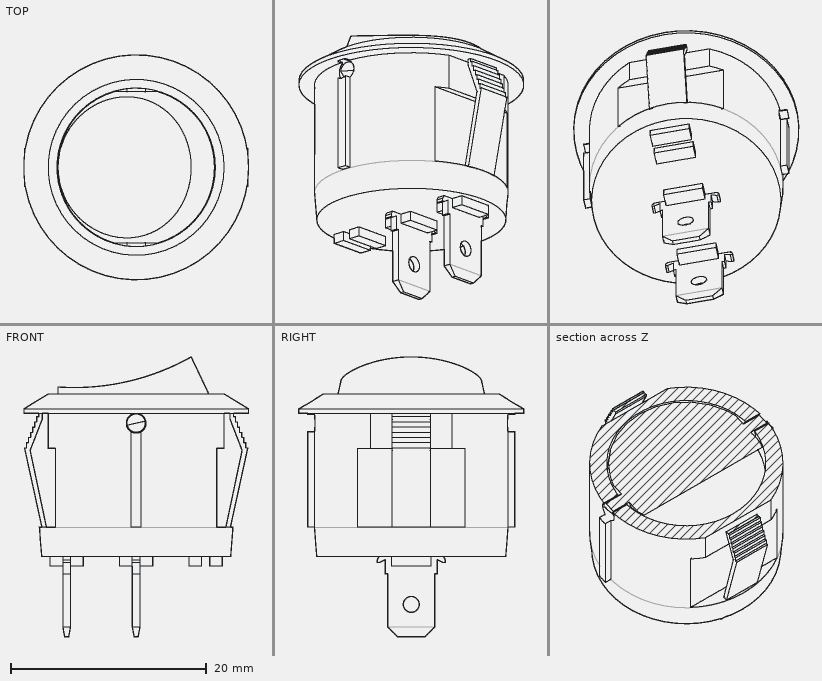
import cadquery as cq
import math

OVERALL_HEIGHT = 28.6

FLANGE_RADIUS = 11.5
FLANGE_EDGE = 0.45
FLANGE_TOP = 2.0
FLANGE_TOP_RADIUS = 8.98
BORE_RADIUS = 8.1
BORE_FLOOR = -2.57

BODY_RADIUS = 9.9
BODY_BOTTOM = -11.67
BASE_RADIUS = 9.67
BASE_BOTTOM = -14.61

UPPER_FLAT_X = 8.98
LOWER_FLAT_X = 8.25
FLAT_STEP = -3.58
FLAT_BOTTOM = -11.6

RIB_WIDTH = 1.0
RIB_Y = 10.58

PIVOT_Z = -1.0
TILT = 12.7
RIM_RADIUS = 6.98
RIM_HEIGHT = 5.38
DISH_RADIUS = 24.3
ROCKER_CLEARANCE = 0.05
ROCKER_FLAT_Y = 7.72

PIN_DIAMETER = 1.9
PIN_HOLE_DIAMETER = 2.0
PIN_END_Y = 9.72

CLIP_WIDTH = 3.9
CLIP_TOP_OUTER_X = 9.95
CLIP_TOP_INNER_X = 9.58
CLIP_TOP_BEND_Z = -0.6
CLIP_ELBOW_OUTER_X = 11.4
CLIP_ELBOW_INNER_X = 10.8
CLIP_ELBOW_INNER_Z = -3.78
CLIP_FOOT_OUTER_X = 9.65
CLIP_FOOT_INNER_X = 9.15
TOOTH_COUNT = 7
FIRST_TOOTH_Z = -0.35
LAST_TOOTH_Z = -3.52

TERMINAL_PITCH = 7.1
TERMINAL_THICKNESS = 0.8
TERMINAL_HALF_WIDTH = 2.4
TERMINAL_HOLE_DIAMETER = 1.6
TERMINAL_HOLE_Z = -19.5
SHOULDER_HALF_WIDTH = 2.65
SHOULDER_BOTTOM = -16.4
TIP_LENGTH = 1.0
TIP_HALF_WIDTH = 1.4
TIP_THICKNESS = 0.43
BARB_HALF_WIDTH = 3.5
BARB_TOP_HALF_WIDTH = 3.3
BARB_POINT_WIDTH = 0.23
BARB_DROP = 0.63
BARB_ROOT_DROP = 0.35
LUG_LENGTH = 3.43
LUG_WIDTH = 4.05
LUG_HEIGHT = 0.97

tilt_angle = math.radians(TILT)
rocker_top = PIVOT_Z + RIM_RADIUS * math.sin(tilt_angle) + RIM_HEIGHT * math.cos(tilt_angle)
terminal_bottom = rocker_top - OVERALL_HEIGHT


def box_between(x_range, y_range, z_range):
    """Box given by its lower and upper limit on each axis."""
    lower, upper = zip(x_range, y_range, z_range)
    size = [high - low for low, high in zip(lower, upper)]
    return cq.Workplane("XY").box(*size, centered=False).translate(lower)


def y_cylinder(diameter, half_length, z):
    """Cylinder along Y, centred on the XZ plane."""
    return cq.Workplane("XZ").center(0, z).circle(diameter / 2).extrude(half_length, both=True)


def make_housing():
    """Flange, barrel and tapered base, turned in one piece around the bore."""
    profile = (
        cq.Workplane("XZ")
        .moveTo(0, BASE_BOTTOM)
        .lineTo(BASE_RADIUS, BASE_BOTTOM)
        .lineTo(BODY_RADIUS, BODY_BOTTOM)
        .lineTo(BODY_RADIUS, 0)
        .lineTo(FLANGE_RADIUS, 0)
        .lineTo(FLANGE_RADIUS, FLANGE_EDGE)
        .lineTo(FLANGE_TOP_RADIUS, FLANGE_TOP)
        .lineTo(BORE_RADIUS, FLANGE_TOP)
        .lineTo(BORE_RADIUS, BORE_FLOOR)
        .lineTo(0, BORE_FLOOR)
        .close()
    )
    return profile.revolve(360, (0, 0, 0), (0, 1, 0))


def cut_side_flats(body):
    """Stepped flats on both X sides, ending on a shelf above the base."""
    y_range = (-BODY_RADIUS, BODY_RADIUS)
    for flat_x, z_range in (
        (UPPER_FLAT_X, (FLAT_STEP, 0)),
        (LOWER_FLAT_X, (FLAT_BOTTOM, FLAT_STEP)),
    ):
        body = body.cut(box_between((flat_x, FLANGE_RADIUS), y_range, z_range))
        body = body.cut(box_between((-FLANGE_RADIUS, -flat_x), y_range, z_range))
    return body


def add_ribs(body):
    """Upright ribs on both Y sides, from the flange down to the base."""
    x_range = (-RIB_WIDTH / 2, RIB_WIDTH / 2)
    z_range = (FLAT_BOTTOM, 0)
    root_y = BORE_RADIUS + (BODY_RADIUS - BORE_RADIUS) / 2
    body = body.union(box_between(x_range, (root_y, RIB_Y), z_range))
    return body.union(box_between(x_range, (-RIB_Y, -root_y), z_range))


def make_pin():
    """Pivot pin, with the lower half of each end sloped for snapping in."""
    pin_radius = PIN_DIAMETER / 2
    pin = y_cylinder(PIN_DIAMETER, PIN_END_Y, 0)
    for side in (-1, 1):
        ramp = (
            cq.Workplane("YZ")
            .moveTo(side * PIN_END_Y, 0)
            .lineTo(side * PIN_END_Y, -pin_radius)
            .lineTo(side * (PIN_END_Y - pin_radius), -pin_radius)
            .close()
            .extrude(pin_radius, both=True)
        )
        pin = pin.cut(ramp)
    return pin


def make_rocker():
    """Dished cone on its pivot pin, pressed down on the -X side."""
    base_radius = RIM_RADIUS + RIM_HEIGHT * math.tan(tilt_angle)
    dish_center = RIM_HEIGHT + math.sqrt(DISH_RADIUS**2 - RIM_RADIUS**2)
    cone = (
        cq.Workplane("XZ")
        .polyline([(0, 0), (base_radius, 0), (RIM_RADIUS, RIM_HEIGHT), (0, RIM_HEIGHT)])
        .close()
        .revolve(360, (0, 0, 0), (0, 1, 0))
    )
    cone = cone.cut(y_cylinder(2 * DISH_RADIUS, base_radius, dish_center))
    envelope_height = 2 * OVERALL_HEIGHT
    envelope = (
        cq.Workplane("XY")
        .circle(BORE_RADIUS - ROCKER_CLEARANCE)
        .extrude(envelope_height / 2, both=True)
        .intersect(cq.Workplane("XY").box(2 * BORE_RADIUS, 2 * ROCKER_FLAT_Y, envelope_height))
    )
    cone = cone.rotate((0, 0, 0), (0, 1, 0), -TILT).intersect(envelope)
    pin = make_pin().rotate((0, 0, 0), (0, 1, 0), -TILT)
    return cone.union(pin).translate((0, 0, PIVOT_Z))


def make_clip():
    """Bent spring clip on the +X side, with a toothed upper leg."""
    tooth_pitch = (LAST_TOOTH_Z - FIRST_TOOTH_Z) / (TOOTH_COUNT - 1)
    tooth_step = (CLIP_ELBOW_OUTER_X - CLIP_TOP_OUTER_X) / TOOTH_COUNT
    outline = cq.Workplane("XZ").moveTo(CLIP_TOP_OUTER_X, 0)
    for tooth in range(TOOTH_COUNT):
        tooth_z = FIRST_TOOTH_Z + tooth * tooth_pitch
        tooth_x = CLIP_TOP_OUTER_X + tooth * tooth_step
        outline = outline.lineTo(tooth_x, tooth_z).lineTo(tooth_x + tooth_step, tooth_z)
    return (
        outline.lineTo(CLIP_FOOT_OUTER_X, FLAT_BOTTOM)
        .lineTo(CLIP_FOOT_INNER_X, FLAT_BOTTOM)
        .lineTo(CLIP_ELBOW_INNER_X, CLIP_ELBOW_INNER_Z)
        .lineTo(CLIP_TOP_INNER_X, CLIP_TOP_BEND_Z)
        .lineTo(CLIP_TOP_INNER_X, 0)
        .close()
        .extrude(CLIP_WIDTH / 2, both=True)
    )


def make_terminal():
    """Blade terminal in the YZ plane, with barbs, shoulders, hole and thinned tip."""
    tip_top = terminal_bottom + TIP_LENGTH
    barb_tip_z = BASE_BOTTOM - BARB_DROP
    half_blade = (
        cq.Workplane("YZ")
        .moveTo(0, BASE_BOTTOM)
        .lineTo(BARB_TOP_HALF_WIDTH, BASE_BOTTOM)
        .lineTo(BARB_HALF_WIDTH, BASE_BOTTOM - BARB_ROOT_DROP)
        .lineTo(BARB_HALF_WIDTH, barb_tip_z)
        .lineTo(BARB_HALF_WIDTH - BARB_POINT_WIDTH, barb_tip_z)
        .lineTo(SHOULDER_HALF_WIDTH, BASE_BOTTOM - BARB_ROOT_DROP)
        .lineTo(SHOULDER_HALF_WIDTH, SHOULDER_BOTTOM)
        .lineTo(TERMINAL_HALF_WIDTH, SHOULDER_BOTTOM)
        .lineTo(TERMINAL_HALF_WIDTH, tip_top)
        .lineTo(TIP_HALF_WIDTH, terminal_bottom)
        .lineTo(0, terminal_bottom)
        .close()
        .extrude(TERMINAL_THICKNESS / 2, both=True)
    )
    blade = half_blade.union(half_blade.mirror("XZ"))
    hole = (
        cq.Workplane("YZ")
        .center(0, TERMINAL_HOLE_Z)
        .circle(TERMINAL_HOLE_DIAMETER / 2)
        .extrude(TERMINAL_THICKNESS, both=True)
    )
    for side in (-1, 1):
        tip_bevel = (
            cq.Workplane("XZ")
            .moveTo(side * TERMINAL_THICKNESS / 2, tip_top)
            .lineTo(side * TERMINAL_THICKNESS / 2, terminal_bottom)
            .lineTo(side * TIP_THICKNESS / 2, terminal_bottom)
            .close()
            .extrude(TERMINAL_HALF_WIDTH, both=True)
        )
        blade = blade.cut(tip_bevel)
    return blade.cut(hole)


def make_lug(slotted):
    """Block under the base that surrounds one terminal position."""
    y_range = (-LUG_WIDTH / 2, LUG_WIDTH / 2)
    z_range = (BASE_BOTTOM - LUG_HEIGHT, BASE_BOTTOM)
    lug = box_between((-LUG_LENGTH / 2, LUG_LENGTH / 2), y_range, z_range)
    if slotted:
        slot_x_range = (-TERMINAL_THICKNESS / 2, TERMINAL_THICKNESS / 2)
        lug = lug.cut(box_between(slot_x_range, y_range, z_range))
    return lug


result = add_ribs(cut_side_flats(make_housing()))
result = result.cut(y_cylinder(PIN_HOLE_DIAMETER, RIB_Y, PIVOT_Z))
result = result.union(make_rocker())

clip = make_clip()
result = result.union(clip).union(clip.mirror("YZ"))

for terminal_x in (-TERMINAL_PITCH, 0):
    result = result.union(make_lug(slotted=False).translate((terminal_x, 0, 0)))
    result = result.union(make_terminal().translate((terminal_x, 0, 0)))
result = result.union(make_lug(slotted=True).translate((TERMINAL_PITCH, 0, 0)))